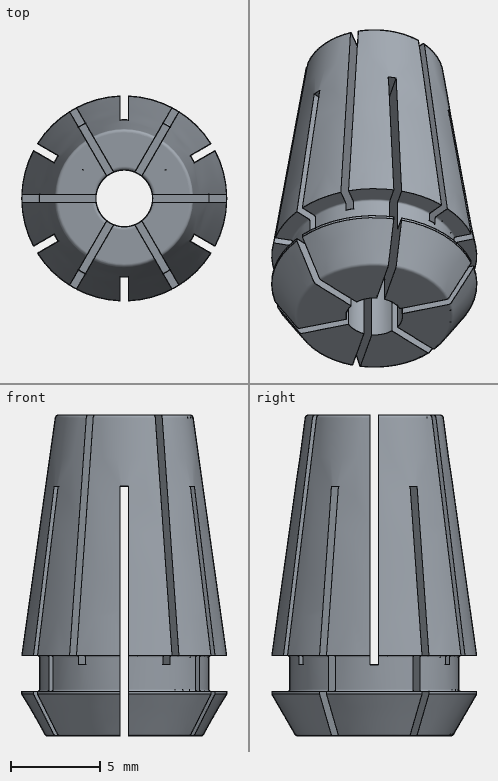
import cadquery as cq
import math


total_height = 18.0
max_diameter = 11.5
bore_diameter = 3.17

taper_half_angle = 8.0
taper_base_z = 4.5

groove_diameter = 9.5
flange_top_z = 2.5
flange_edge_height = 0.15
nose_half_angle = 30.0

groove_fillet = 0.1
top_outer_fillet = 0.2
bore_mouth_fillet = 0.2
nose_fillet = 0.2

slots_per_set = 6
slot_width = 0.45
lower_slot_end_z = 14.0
upper_slot_start_z = 4.0
lower_slot_first_angle = 30.0
upper_slot_first_angle = 0.0

max_radius = max_diameter / 2
bore_radius = bore_diameter / 2
groove_radius = groove_diameter / 2
taper_drop = (total_height - taper_base_z) * math.tan(math.radians(taper_half_angle))
top_radius = max_radius - taper_drop
nose_start_z = flange_top_z - flange_edge_height
nose_radius = max_radius - nose_start_z * math.tan(math.radians(nose_half_angle))
slot_pitch = 360.0 / slots_per_set


def ring_edge(body, radius, z):
    """Select the circular edge of the given radius at height z."""
    tolerance = 0.01
    low = (-radius - tolerance, -radius - tolerance, z - tolerance)
    high = (radius + tolerance, radius + tolerance, z + tolerance)
    inside = body.edges(cq.selectors.BoxSelector(low, high, boundingbox=True))
    return inside.filter(lambda edge: edge.geomType() == "CIRCLE" and abs(edge.radius() - radius) < tolerance)


def make_body():
    """Revolve the collet section and round its edges."""
    section = [
        (bore_radius, 0),
        (nose_radius, 0),
        (max_radius, nose_start_z),
        (max_radius, flange_top_z),
        (groove_radius, flange_top_z),
        (groove_radius, taper_base_z),
        (max_radius, taper_base_z),
        (top_radius, total_height),
        (bore_radius, total_height),
    ]
    body = cq.Workplane("XZ").polyline(section).close().revolve(360, (0, 0, 0), (0, 1, 0))
    body = ring_edge(body, groove_radius, flange_top_z).fillet(groove_fillet)
    body = ring_edge(body, groove_radius, taper_base_z).fillet(groove_fillet)
    body = ring_edge(body, top_radius, total_height).fillet(top_outer_fillet)
    body = ring_edge(body, bore_radius, total_height).fillet(bore_mouth_fillet)
    body = ring_edge(body, nose_radius, 0).fillet(nose_fillet)
    return body


def cut_slot_set(body, first_angle, bottom_z, top_z):
    """Cut evenly spaced slots from the axis outward, between two heights."""
    blade = (
        cq.Workplane("XY")
        .workplane(offset=bottom_z)
        .rect(max_diameter, slot_width)
        .extrude(top_z - bottom_z)
        .translate((max_radius, 0, 0))
    )
    for index in range(slots_per_set):
        angle = first_angle + index * slot_pitch
        body = body.cut(blade.rotate((0, 0, 0), (0, 0, 1), angle))
    return body


collet = make_body()
collet = cut_slot_set(collet, lower_slot_first_angle, 0, lower_slot_end_z)
result = cut_slot_set(collet, upper_slot_first_angle, upper_slot_start_z, total_height)